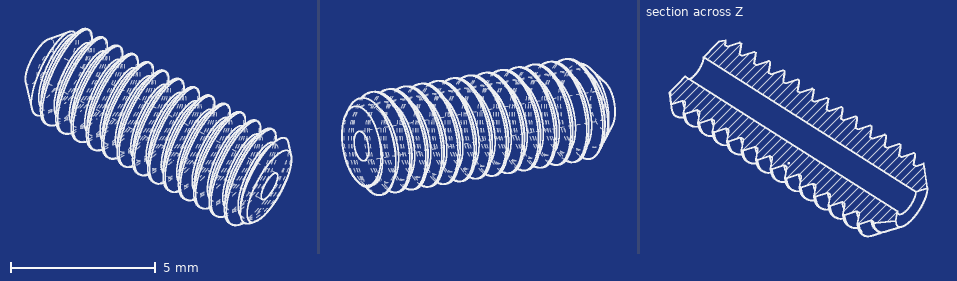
import cadquery as cq
import math

length = 9.53
major_radius = 1.78
root_radius = 1.39
pitch = length / 15
flank_half_angle = math.radians(30)
crest_width = pitch / 8

crest_position = 1.43
lead_in_turns = 3
thread_turns = 17

point_radius = 0.89
bore_radius = 0.51
cup_half_angle = math.radians(59)
cup_depth = (point_radius - bore_radius) / math.tan(cup_half_angle)

ridge_overlap = 0.03
rod_overhang = 1.91
cone_clearance = 0.95


def make_thread_ridge():
    """Right-handed trapezoidal ridge, swept beyond both ends of the screw."""
    base_radius = root_radius - ridge_overlap
    half_crest = crest_width / 2
    half_base = half_crest + (major_radius - base_radius) * math.tan(flank_half_angle)
    helix = cq.Wire.makeHelix(pitch, thread_turns * pitch, base_radius)
    ridge = (
        cq.Workplane("XZ")
        .polyline([
            (base_radius, -half_base),
            (major_radius, -half_crest),
            (major_radius, half_crest),
            (base_radius, half_base),
        ])
        .close()
        .sweep(cq.Workplane(obj=helix), isFrenet=True)
    )
    start = crest_position - lead_in_turns * pitch
    return ridge.rotate((0, 0, 0), (0, 1, 0), 90).translate((start, 0, 0))


def make_threaded_rod():
    """Overlong core cylinder with the thread ridge fused to it."""
    core = (
        cq.Workplane("YZ", origin=(-rod_overhang, 0, 0))
        .circle(root_radius)
        .extrude(length + 2 * rod_overhang)
    )
    return core.union(make_thread_ridge())


def make_end_envelope():
    """Space inside the 45 degree end cones and outside the cupped through bore."""
    envelope_radius = major_radius + cone_clearance
    return (
        cq.Workplane("XY")
        .polyline([
            (0, point_radius),
            (envelope_radius - point_radius, envelope_radius),
            (length - (envelope_radius - root_radius), envelope_radius),
            (length, root_radius),
            (length, bore_radius),
            (cup_depth, bore_radius),
        ])
        .close()
        .revolve(360, (0, 0, 0), (1, 0, 0))
    )


result = make_threaded_rod().intersect(make_end_envelope())